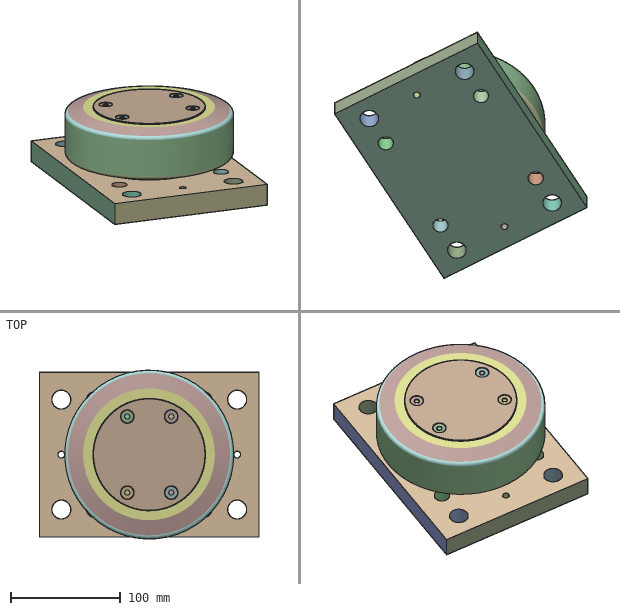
import cadquery as cq
import math

plate_length = 200.0
plate_width = 150.0
plate_thickness = 20.0
corner_hole_diameter = 17.0
corner_hole_pitch_x = 160.0
corner_hole_pitch_y = 100.0
inner_hole_diameter = 13.8
inner_hole_pitch = 100.0
pin_hole_diameter = 6.0
pin_hole_pitch = corner_hole_pitch_x

neck_diameter = 103.0
roller_diameter = 153.8
roller_bottom = 28.2
roller_shoulder = 69.2
roller_top = 73.0
roller_top_face_diameter = 120.0
roller_edge_radius = 3.0
roller_crown = 0.1

cap_diameter = 102.5
cap_top = 74.0
cap_chamfer = 0.5

screw_circle_radius = 40.0
screw_angles = (60, 120, 240, 300)
counterbore_diameter = 12.5
counterbore_depth = 6.0
screw_head_diameter = 11.5
screw_head_recess = 0.5
socket_across_flats = 4.5
socket_depth = 1.0


def make_plate():
    plate = cq.Workplane("XY").box(plate_length, plate_width, plate_thickness, centered=(True, True, False))
    top = plate.faces(">Z").workplane()
    plate = top.rect(corner_hole_pitch_x, corner_hole_pitch_y, forConstruction=True).vertices().hole(
        corner_hole_diameter
    )
    top = plate.faces(">Z").workplane()
    plate = top.rect(inner_hole_pitch, inner_hole_pitch, forConstruction=True).vertices().hole(
        inner_hole_diameter
    )
    top = plate.faces(">Z").workplane()
    return top.rarray(pin_hole_pitch, 2, 2, 1).hole(pin_hole_diameter)


def make_neck():
    height = roller_bottom - plate_thickness
    return cq.Workplane("XY").workplane(offset=plate_thickness).circle(neck_diameter / 2).extrude(height)


def make_roller():
    crown_radius = roller_diameter / 2
    outer_radius = crown_radius - roller_crown
    mid_height = (roller_bottom + roller_shoulder) / 2
    shoulder_radius = outer_radius - roller_edge_radius
    arc_inset = roller_edge_radius * (1 - math.sqrt(0.5))
    profile = (
        cq.Workplane("XZ")
        .moveTo(0, roller_bottom)
        .lineTo(shoulder_radius, roller_bottom)
        .threePointArc(
            (outer_radius - arc_inset, roller_bottom + arc_inset),
            (outer_radius, roller_bottom + roller_edge_radius),
        )
        .threePointArc(
            (crown_radius, mid_height),
            (outer_radius, roller_shoulder - roller_edge_radius),
        )
        .threePointArc(
            (outer_radius - arc_inset, roller_shoulder - arc_inset),
            (shoulder_radius, roller_shoulder),
        )
        .lineTo(roller_top_face_diameter / 2, roller_top)
        .lineTo(0, roller_top)
        .close()
    )
    return profile.revolve(360, (0, 0, 0), (0, 1, 0))


def make_cap():
    cap = cq.Workplane("XY").workplane(offset=roller_top).circle(cap_diameter / 2)
    return cap.extrude(cap_top - roller_top).faces(">Z").chamfer(cap_chamfer)


def at_screws(height):
    points = []
    for angle in screw_angles:
        radians = math.radians(angle)
        points.append((screw_circle_radius * math.cos(radians), screw_circle_radius * math.sin(radians)))
    return cq.Workplane("XY").workplane(offset=height).pushPoints(points)


def add_screws(body):
    head_top = cap_top - screw_head_recess
    floor = cap_top - counterbore_depth
    counterbores = at_screws(floor).circle(counterbore_diameter / 2).extrude(counterbore_depth)
    heads = at_screws(floor).circle(screw_head_diameter / 2).extrude(head_top - floor)
    socket_across_corners = socket_across_flats / math.cos(math.pi / 6)
    sockets = at_screws(head_top - socket_depth).polygon(6, socket_across_corners).extrude(socket_depth)
    return body.cut(counterbores).union(heads).cut(sockets)


body = make_plate().union(make_neck()).union(make_roller()).union(make_cap())
result = add_screws(body)